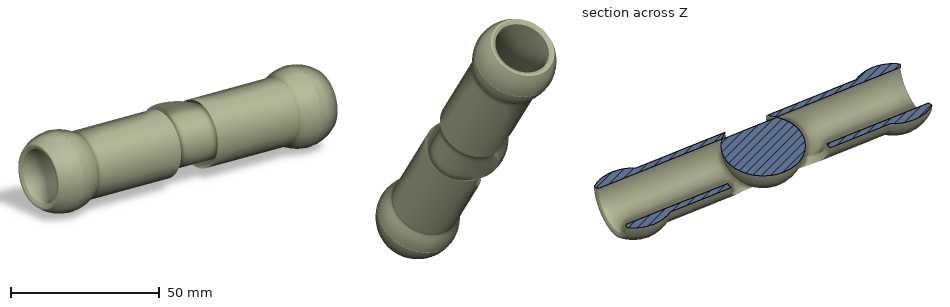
import cadquery as cq

length = 117.5
tube_radius = 23.9 / 2
bore_radius = 19.0 / 2
ball_radius = 14.2
end_ball_offset = 50.0
band_radius = 14.28
band_width = 0.4
core_ball_radius = band_radius
cavity_radius = ball_radius
mouth_chamfer_width = 1.0
mouth_chamfer_depth = 0.6

half_length = length / 2
side_slot_length = 4 * bore_radius
oversize = 2 * length


def ball(radius, y=0):
    """Sphere centred on the tube axis, with its poles on that axis."""
    return (
        cq.Workplane("XY")
        .moveTo(0, y - radius)
        .threePointArc((radius, y), (0, y + radius))
        .close()
        .revolve(360, (0, 0, 0), (0, 1, 0))
    )


def rod(radius, rod_length, y=0):
    """Solid cylinder along Y, centred at the given y."""
    return cq.Workplane("XZ").circle(radius).extrude(rod_length / 2, both=True).translate((0, y, 0))


def mouth_cone(side):
    """Material removed by the bore chamfer at one open end (side is -1 or 1)."""
    end = side * half_length
    chamfer_bottom = end - side * mouth_chamfer_depth
    return (
        cq.Workplane("XY")
        .moveTo(0, end)
        .lineTo(bore_radius + mouth_chamfer_width, end)
        .lineTo(bore_radius, chamfer_bottom)
        .lineTo(0, chamfer_bottom)
        .close()
        .revolve(360, (0, 0, 0), (0, 1, 0))
    )


tube = rod(tube_radius, 2 * end_ball_offset)
for side in (-1, 1):
    ball_center = side * end_ball_offset
    tube = tube.union(ball(ball_radius, ball_center))
    tube = tube.union(rod(band_radius, band_width, ball_center))
tube = tube.intersect(cq.Workplane("XY").box(oversize, length, oversize))

tube = tube.cut(rod(bore_radius, length))
for side in (-1, 1):
    tube = tube.cut(mouth_cone(side))

side_slot = cq.Workplane("YZ").slot2D(side_slot_length, 2 * bore_radius).extrude(-2 * tube_radius)
tube = tube.cut(ball(cavity_radius)).cut(side_slot)

slot_filler = cq.Workplane("XY").box(
    oversize, length, 2 * bore_radius, centered=(False, True, True)
).translate((-oversize, 0, 0))
core = ball(core_ball_radius).intersect(rod(bore_radius, length).union(slot_filler))

result = tube.union(core)